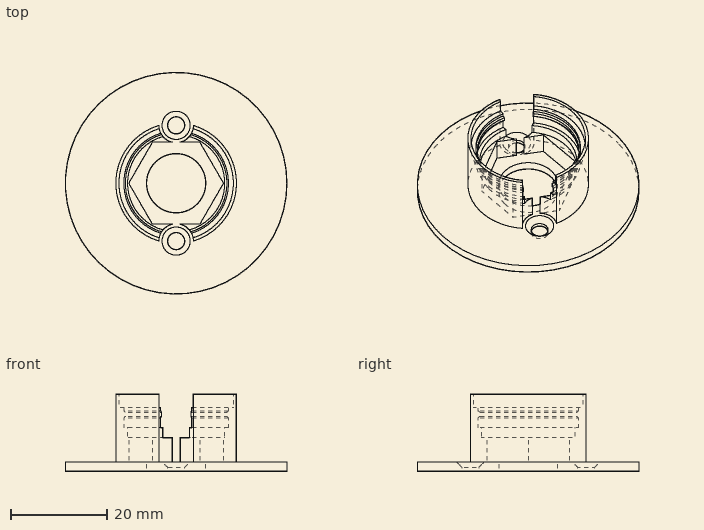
import cadquery as cq
import math

flange_diameter = 46.0
flange_thickness = 2.0
center_hole_diameter = 12.25

overall_height = 16.0
housing_radius = 12.5
rim_bore_radius = 11.85
middle_bore_radius = 10.85
lower_bore_radius = 10.07
rim_ledge_z = 13.2
lower_ledge_z = 9.05

bead_z = 11.8
bead_half_height = 0.75
bead_projection = 0.3

nut_top_z = 7.0
nut_across_flats = 17.0
nut_across_corners = nut_across_flats / math.cos(math.pi / 6)

screw_offset = 12.0
screw_hole_diameter = 3.5
countersink_diameter = 5.85
countersink_angle = 90.0
screw_clearance_radius = 3.6


def cylinder(radius, bottom_z, top_z):
    """Upright cylinder on the part axis."""
    return cq.Workplane("XY").workplane(offset=bottom_z).circle(radius).extrude(top_z - bottom_z)


def make_housing():
    """Stepped tube with a hexagonal pocket at its foot."""
    housing = cylinder(housing_radius, flange_thickness, overall_height)
    housing = housing.cut(cylinder(rim_bore_radius, rim_ledge_z, overall_height))
    housing = housing.cut(cylinder(middle_bore_radius, lower_ledge_z, rim_ledge_z))
    housing = housing.cut(cylinder(lower_bore_radius, nut_top_z, lower_ledge_z))
    nut_pocket = (
        cq.Workplane("XY")
        .workplane(offset=flange_thickness)
        .polygon(6, nut_across_corners)
        .extrude(nut_top_z - flange_thickness)
    )
    return housing.cut(nut_pocket)


def make_snap_bead():
    """Ring on the middle bore with 45 degree flanks and a flat crest."""
    crest_radius = middle_bore_radius - bead_projection
    crest_half_height = bead_half_height - bead_projection
    root_radius = (middle_bore_radius + housing_radius) / 2
    return (
        cq.Workplane("XZ")
        .moveTo(root_radius, bead_z - bead_half_height)
        .lineTo(middle_bore_radius, bead_z - bead_half_height)
        .lineTo(crest_radius, bead_z - crest_half_height)
        .lineTo(crest_radius, bead_z + crest_half_height)
        .lineTo(middle_bore_radius, bead_z + bead_half_height)
        .lineTo(root_radius, bead_z + bead_half_height)
        .close()
        .revolve(360, (0, 0), (0, 1))
    )


screw_centers = [(0, -screw_offset), (0, screw_offset)]

screw_clearances = (
    cq.Workplane("XY")
    .workplane(offset=flange_thickness)
    .pushPoints(screw_centers)
    .circle(screw_clearance_radius)
    .extrude(overall_height - flange_thickness)
)
housing = make_housing().union(make_snap_bead()).cut(screw_clearances)

flange = cylinder(flange_diameter / 2, 0, flange_thickness)

result = (
    flange.union(housing)
    .cut(cylinder(center_hole_diameter / 2, 0, flange_thickness))
    .copyWorkplane(cq.Workplane("XY", origin=(0, 0, flange_thickness)))
    .pushPoints(screw_centers)
    .cskHole(screw_hole_diameter, countersink_diameter, countersink_angle)
)